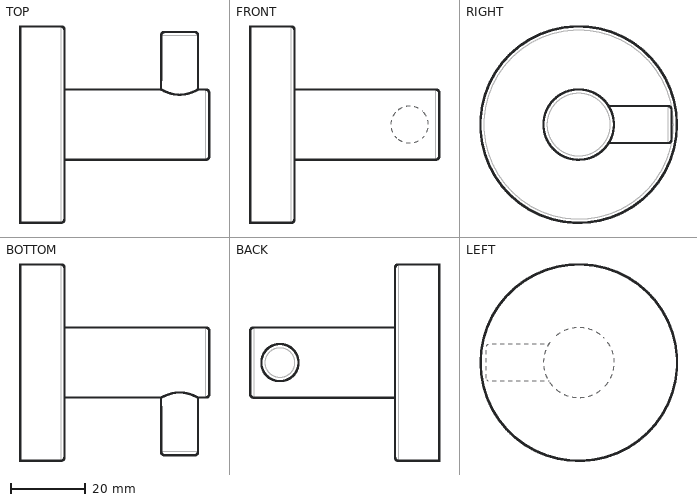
import cadquery as cq

base_diameter = 53.0
base_thickness = 12.0
total_length = 51.0
post_diameter = 19.0
peg_diameter = 10.0
peg_reach = 25.0
peg_end_gap = 3.0
edge_radius = 1.0

peg_x = total_length - peg_end_gap - peg_diameter / 2


def rounded_cylinder(plane, far_end, diameter, length):
    """Cylinder rising from the plane, rounded at its far end."""
    cylinder = cq.Workplane(plane).circle(diameter / 2).extrude(length)
    return cylinder.faces(far_end).edges().fillet(edge_radius)


base = rounded_cylinder("YZ", ">X", base_diameter, base_thickness)
post = rounded_cylinder("YZ", ">X", post_diameter, total_length)

peg_plane = cq.Plane(origin=(peg_x, 0, 0), xDir=(1, 0, 0), normal=(0, 1, 0))
peg = rounded_cylinder(peg_plane, ">Y", peg_diameter, peg_reach)

result = base.union(post).union(peg)